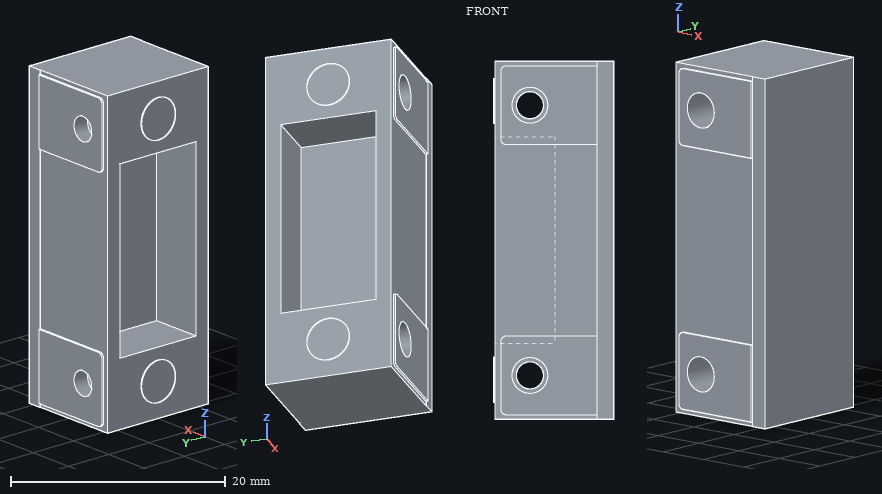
import cadquery as cq

HEIGHT = 33.45
HOUSING_WIDTH = 12.47
PLATE_WIDTH = 12.57
DEPTH = 11.1
PLATE_THICKNESS = 1.57

POCKET_WIDTH = 9.43
POCKET_HEIGHT = 19.25
POCKET_DEPTH = 5.62

DISC_DIAMETER = 4.2
DISC_PROUD = 0.1
DISC_OFFSET = 13.0

PAD_PROUD = 0.2
PAD_HEIGHT = 7.35
PAD_FRONT_MARGIN = 0.57
PAD_END_MARGIN = 0.45
PAD_CORNER_RADIUS = 0.5

HOLE_DIAMETER = 2.5
BORE_DIAMETER = 3.35
SEAT_THICKNESS = 1.67
HOLE_FROM_FRONT = 3.28

FRONT_X = -DEPTH / 2
SEAM_X = DEPTH / 2 - PLATE_THICKNESS
PAD_LENGTH = SEAM_X - FRONT_X - PAD_FRONT_MARGIN
PAD_CENTER_X = SEAM_X - PAD_LENGTH / 2
PAD_CENTER_Z = HEIGHT / 2 - PAD_END_MARGIN - PAD_HEIGHT / 2
OUTER_WIDTH = HOUSING_WIDTH + 2 * PAD_PROUD
HOLE_X = FRONT_X + HOLE_FROM_FRONT


def make_housing():
    """Block in front of the seam, without the cover plate."""
    length = SEAM_X - FRONT_X
    return cq.Workplane("XY").box(length, HOUSING_WIDTH, HEIGHT).translate((FRONT_X + length / 2, 0, 0))


def make_cover_plate():
    """Flat plate closing the +X side, slightly wider than the housing along Y."""
    plate = cq.Workplane("XY").box(PLATE_THICKNESS, PLATE_WIDTH, HEIGHT)
    return plate.translate((SEAM_X + PLATE_THICKNESS / 2, 0, 0))


def make_pocket():
    """Volume removed through the -X face."""
    pocket = cq.Workplane("XY").box(POCKET_DEPTH, POCKET_WIDTH, POCKET_HEIGHT)
    return pocket.translate((FRONT_X + POCKET_DEPTH / 2, 0, 0))


def make_pad_pair(z):
    """Bar across the block whose two ends form the raised pads."""
    bar = cq.Workplane("XY").box(PAD_LENGTH, OUTER_WIDTH, PAD_HEIGHT)
    bar = bar.edges("|Y and <X").fillet(PAD_CORNER_RADIUS)
    return bar.translate((PAD_CENTER_X, 0, z))


def make_disc(z):
    """Thin disc lying on the -X face."""
    face = cq.Workplane("YZ", origin=(FRONT_X, 0, z))
    return face.circle(DISC_DIAMETER / 2).extrude(-DISC_PROUD)


def make_screw_hole(z):
    """Through hole with a wide bore from -Y that leaves a seat at the +Y end."""
    face = cq.Workplane("XZ", origin=(HOLE_X, OUTER_WIDTH / 2, z))
    through = face.circle(HOLE_DIAMETER / 2).extrude(OUTER_WIDTH)
    bore = face.workplane(offset=SEAT_THICKNESS).circle(BORE_DIAMETER / 2)
    return through.union(bore.extrude(OUTER_WIDTH - SEAT_THICKNESS))


result = make_housing()
for side in (-1, 1):
    result = result.union(make_pad_pair(side * PAD_CENTER_Z))
    result = result.union(make_disc(side * DISC_OFFSET))
    result = result.cut(make_screw_hole(side * PAD_CENTER_Z))
result = result.cut(make_pocket())

result = result.union(make_cover_plate(), clean=False)